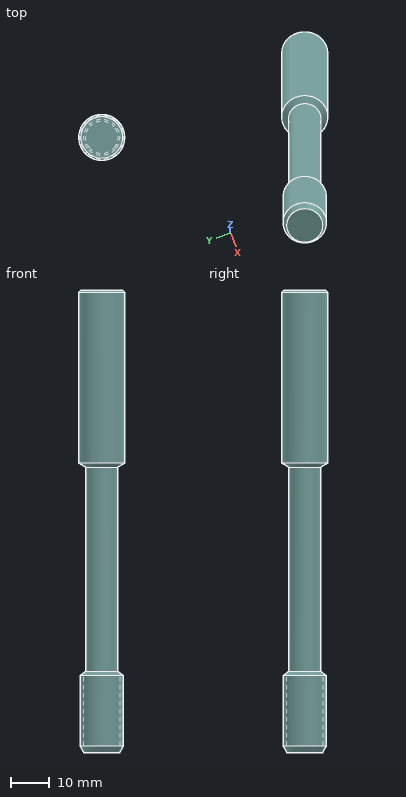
import cadquery as cq

total_length = 120.0
stem_radius = 4.2

head_radius = 6.0
head_length = 46.0
head_top_chamfer = 0.6
head_bottom_taper_height = 1.1

thread_radius = 5.6
threaded_end_length = 21.1
threaded_end_top_taper_height = 1.1
tip_radius = 4.7
tip_taper_height = 1.8

core_radius = tip_radius
sleeve_bottom = tip_taper_height
sleeve_top = threaded_end_length - threaded_end_top_taper_height
head_bottom = total_length - head_length


def make_pin():
    """Turned pin with tapered shoulders and a recess that seats the thread sleeve."""
    profile = [
        (0, 0),
        (tip_radius, 0),
        (thread_radius, sleeve_bottom),
        (core_radius, sleeve_bottom),
        (core_radius, sleeve_top),
        (thread_radius, sleeve_top),
        (stem_radius, threaded_end_length),
        (stem_radius, head_bottom),
        (head_radius, head_bottom + head_bottom_taper_height),
        (head_radius, total_length - head_top_chamfer),
        (head_radius - head_top_chamfer, total_length),
        (0, total_length),
    ]
    return cq.Workplane("XZ").polyline(profile).close().revolve(360, (0, 0), (0, 1))


def make_thread_sleeve():
    """Straight tube filling the recess between the two tapers of the threaded end."""
    return (
        cq.Workplane("XY")
        .workplane(offset=sleeve_bottom)
        .circle(thread_radius)
        .circle(core_radius)
        .extrude(sleeve_top - sleeve_bottom)
    )


pin = make_pin()
thread_sleeve = make_thread_sleeve()

result = cq.Compound.makeCompound([pin.val(), thread_sleeve.val()])